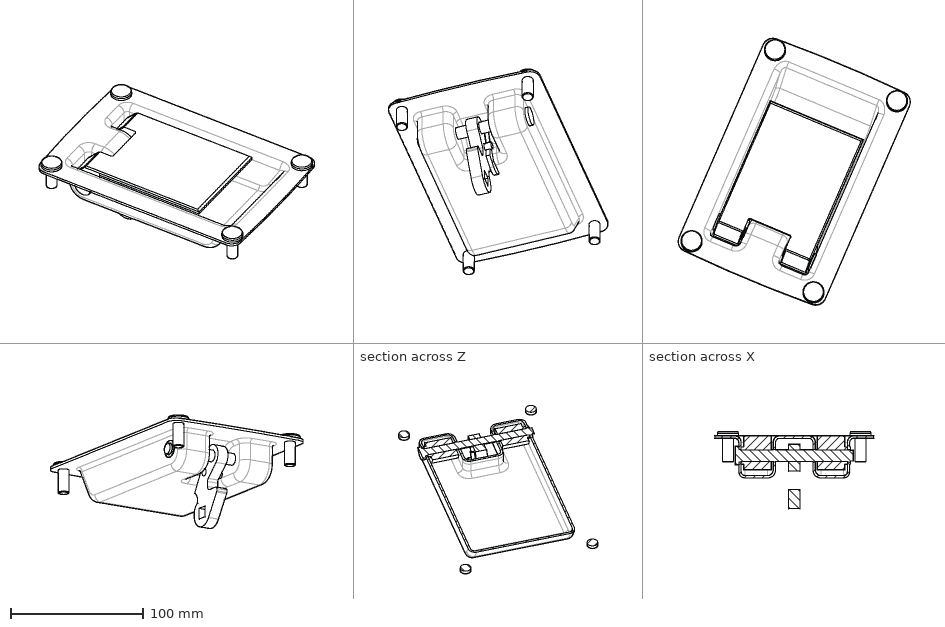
import cadquery as cq
import math


SHEET = 2.0
FLANGE_WIDTH = 120.0
FLANGE_LENGTH = 179.69
FLANGE_END_BOW = 1.6
FLANGE_CORNER_R = 8.0

TRAY_HALF_WIDTH = 40.0
TRAY_LEFT = -69.5
TRAY_DEPTH = 30.0
TRAY_BEND_R = 12.0
TRAY_RIGHT_BEND_X = 48.8
SLOPE_ANGLE = 60.0
TRAY_EDGE_R = 3.0
MOUTH_R = 5.0

TONGUE_HALF_WIDTH = 16.0
TONGUE_BEND_X = TRAY_LEFT + TRAY_BEND_R
TONGUE_BEND_R = 14.0
TONGUE_ANGLE = 45.0
TONGUE_WALL_X = -35.0
TONGUE_KNEE_R = 6.0
TONGUE_FOOT_R = 4.0

PIN_X = -55.8
PIN_Z = -15.0
PIN_DIA = 9.0
PIN_HEAD_DIA = 14.2
PIN_HEAD_HEIGHT = 2.5
PIN_TAIL_DIA = 8.2
PIN_TAIL_LENGTH = 2.5
PIN_PAD_DIA = 13.0
PIN_PAD_HEIGHT = 0.6
PIN_FACE_Y = TRAY_HALF_WIDTH + SHEET
PIN_SHOULDER_Y = PIN_FACE_Y + PIN_PAD_HEIGHT

STUD_X = 80.0
STUD_Y = 50.0
STUD_HEAD_DIA = 16.0
STUD_HEAD_HEIGHT = 3.0
STUD_HEAD_CHAMFER_HEIGHT = 1.2
STUD_HEAD_CHAMFER_WIDTH = 0.6
STUD_DIA = 8.4
STUD_END_Z = -20.0
STUD_END_CHAMFER = 0.6
STUD_PLACES = [(x, y) for x in (-STUD_X, STUD_X) for y in (-STUD_Y, STUD_Y)]

PADDLE_HALF_WIDTH = 38.2
PADDLE_THICKNESS = 3.0
PADDLE_RIGHT = 43.2
PADDLE_RIGHT_CHAMFER = 1.9
PADDLE_EDGE_CHAMFER = 1.1
PADDLE_FRONT_CHAMFER = 0.7
PADDLE_TOP_LEFT = -58.0
PADDLE_LEFT = -66.5
PADDLE_NOTCH_RIGHT = -46.3
PADDLE_NOTCH_HALF_WIDTH = 17.3
PADDLE_NOTCH_CORNER_R = 1.5
PADDLE_BOSS_DIA = 13.2

CAM_WIDTH = 9.0
CAM_HUB_R = 8.7
CAM_BACK_ANGLE = 60.0
CAM_STEM_X = -49.9
CAM_STEM_TOP_Z = -32.3
CAM_NOSE_X = -62.8
CAM_NOSE_TOP_Z = -40.5
CAM_NOSE_BOTTOM_Z = -44.3
CAM_NOSE_R = 1.5
CAM_STEM_R = 3.0
CAM_LOBE_X = -42.1
CAM_LOBE_Z = -56.1
CAM_LOBE_R = 11.0
CAM_LOBE_RIGHT_ANGLE = 53.0
CAM_SQUARE = 8.4
CAM_WAIST_X = -29.0
CAM_WAIST_Z = -45.0
CAM_WAIST_R = 6.9
CAM_WAIST_TOP_Z = -38.9

TRIP_GAP = 0.6
TRIP_THICKNESS = 3.0
TRIP_BACK_Y = -CAM_WIDTH / 2 - TRIP_GAP
TRIP_FRONT_Y = TRIP_BACK_Y - TRIP_THICKNESS
TRIP_LOBE_X = -31.7
TRIP_LOBE_Z = -28.7
TRIP_LOBE_R = 10.2
TRIP_TOP_Z = -8.0
TRIP_TOP_LEFT = -50.5
TRIP_HEEL_X = -44.7
TRIP_HEEL_TOP_Z = -20.5
TRIP_HEEL_BOTTOM_Z = -34.6
TRIP_CLEARANCE = 0.25
PIVOT_X = -45.2
PIVOT_Z = -25.4
PIVOT_DIA = 5.5
PIVOT_END_Y = -10.0

SLOPE_TAN = math.tan(math.radians(SLOPE_ANGLE))
TONGUE_TAN = math.tan(math.radians(TONGUE_ANGLE))
CAM_BACK_TAN = math.tan(math.radians(CAM_BACK_ANGLE))
FAR = 200.0
TINY = 0.01


def block(x0, x1, y0, y1, z0, z1):
    """Box between two opposite corners."""
    return cq.Workplane("XY").box(x1 - x0, y1 - y0, z1 - z0, centered=False).translate((x0, y0, z0))


def extrude_y(outline, y0, y1):
    """Extrude a closed XZ outline from y0 up to y1."""
    return outline.extrude(y0 - y1).translate((0, y0, 0))


def rod(x, z, dia, y0, y1):
    """Round bar parallel to Y."""
    return extrude_y(cq.Workplane("XZ").center(x, z).circle(dia / 2), y0, y1)


def on_circle(x, z, radius, degrees):
    """Point of an XZ circle at an angle counted from +X towards +Z."""
    angle = math.radians(degrees)
    return (x + radius * math.cos(angle), z + radius * math.sin(angle))


def tangent_degrees(x, z, radius, point, side):
    """Angle on the circle where a line from an outside point touches it; side is +1 or -1."""
    dx = point[0] - x
    dz = point[1] - z
    opening = math.acos(radius / math.hypot(dx, dz))
    return math.degrees(math.atan2(dz, dx) + side * opening)



def tray_block(offset):
    """Tray-shaped solid with rounded edges, up to the flange; offset moves its skin outwards."""
    top = -offset
    left = TRAY_LEFT - offset
    radius = TRAY_BEND_R + offset
    floor = -TRAY_DEPTH - offset
    centre_z = floor + radius
    slope_start = on_circle(TRAY_RIGHT_BEND_X, centre_z, radius, SLOPE_ANGLE - 90)
    slope_top_x = slope_start[0] + (top - slope_start[1]) / SLOPE_TAN
    outline = (
        cq.Workplane("XZ")
        .moveTo(left, top)
        .lineTo(left, centre_z)
        .threePointArc(on_circle(left + radius, centre_z, radius, 225), (left + radius, floor))
        .lineTo(TRAY_RIGHT_BEND_X, floor)
        .threePointArc(on_circle(TRAY_RIGHT_BEND_X, centre_z, radius, SLOPE_ANGLE / 2 - 90), slope_start)
        .lineTo(slope_top_x, top)
        .close()
    )
    half = TRAY_HALF_WIDTH + offset
    tray = extrude_y(outline, -half, half)
    long_edges = tray.faces("<Y or >Y").edges("not(#Z and >Z)")
    return long_edges.fillet(TRAY_EDGE_R + offset)


def tongue_block(offset):
    """Inner end of the tongue: a bend, a slope and a wall that runs down through the floor."""
    radius = TONGUE_BEND_R - offset
    centre_z = -TONGUE_BEND_R
    bottom = -TRAY_DEPTH - 2 * TONGUE_BEND_R
    slope_start = on_circle(TONGUE_BEND_X, centre_z, radius, 90 - TONGUE_ANGLE)
    wall_x = TONGUE_WALL_X - offset
    knee_z = slope_start[1] - (wall_x - slope_start[0]) * TONGUE_TAN
    outline = (
        cq.Workplane("XZ")
        .moveTo(TONGUE_BEND_X, -offset)
        .threePointArc(on_circle(TONGUE_BEND_X, centre_z, radius, 90 - TONGUE_ANGLE / 2), slope_start)
        .lineTo(wall_x, knee_z)
        .lineTo(wall_x, bottom)
        .lineTo(TONGUE_BEND_X, bottom)
        .close()
    )
    half = TONGUE_HALF_WIDTH - offset
    tongue = extrude_y(outline, -half, half)
    knee = cq.selectors.NearestToPointSelector((wall_x, 0, knee_z))
    tongue = tongue.edges("|Y").edges(knee).fillet(TONGUE_KNEE_R - offset)
    rims = tongue.faces("<Y or >Y").edges("not(<X or <Z)")
    return rims.fillet(MOUTH_R - offset)


def open_mouth(body, x0, x1, offset):
    """Add the slab above the tray and round the bend where they meet."""
    top = -offset
    body = body.union(block(x0, x1, -FAR, FAR, top, FAR))
    reach_x0 = max(x0 + TINY, -FAR / 2)
    reach_x1 = min(x1 - TINY, FAR / 2)
    mouth = cq.selectors.BoxSelector(
        (reach_x0, -FAR / 2, top - TINY), (reach_x1, FAR / 2, top + TINY)
    )
    return body.edges(mouth).fillet(MOUTH_R - offset)


def tray_skin(offset):
    """Everything inside the tray surface plus the space above the flange surface."""
    tray = tray_block(offset)
    split = TONGUE_BEND_X
    half = TONGUE_HALF_WIDTH - offset
    floor = -TRAY_DEPTH - offset

    lobes = tray.intersect(block(-FAR, split, -FAR, FAR, -FAR, FAR))
    lobes = lobes.cut(block(-FAR, FAR, -half, half, -FAR, FAR))
    for side in (-1, 1):
        end_wall = cq.selectors.BoxSelector(
            (-FAR, side * half - TINY, floor), (split - TINY, side * half + TINY, -offset - TINY)
        )
        lobes = lobes.edges(end_wall).fillet(TONGUE_FOOT_R + offset)
    lobes = open_mouth(lobes, -FAR, split, offset)

    main = tray.intersect(block(split, FAR, -FAR, FAR, -FAR, FAR))
    main = main.cut(tongue_block(offset))
    foot = cq.selectors.BoxSelector(
        (split + TINY, -half - TINY, floor - TINY), (0, half + TINY, floor + TINY)
    )
    main = main.edges(foot).fillet(TONGUE_FOOT_R + offset)
    main = open_mouth(main, split, FAR, offset)
    return lobes.union(main)


def flange_prism():
    """Flange outline with bowed ends, as a prism taller than the tray is deep."""
    half_y = FLANGE_WIDTH / 2
    tip_x = FLANGE_LENGTH / 2
    corner_x = tip_x - FLANGE_END_BOW
    return (
        cq.Workplane("XY")
        .moveTo(-corner_x, -half_y)
        .lineTo(corner_x, -half_y)
        .threePointArc((tip_x, 0), (corner_x, half_y))
        .lineTo(-corner_x, half_y)
        .threePointArc((-tip_x, 0), (-corner_x, -half_y))
        .close()
        .extrude(-2 * TRAY_DEPTH)
        .edges("|Z")
        .fillet(FLANGE_CORNER_R)
    )


def make_housing():
    body = flange_prism().intersect(tray_skin(SHEET))
    pad = rod(PIN_X, PIN_Z, PIN_PAD_DIA, TRAY_HALF_WIDTH + SHEET / 2, PIN_SHOULDER_Y)
    body = body.union(pad)
    body = body.cut(tray_skin(0))
    body = body.cut(rod(PIN_X, PIN_Z, PIN_DIA, -FAR, FAR))
    for x, y in STUD_PLACES:
        body = body.cut(cq.Workplane("XY").center(x, y).circle(STUD_DIA / 2).extrude(-SHEET))
    return body



def make_stud(x, y):
    head = (
        cq.Workplane("XY")
        .circle(STUD_HEAD_DIA / 2)
        .extrude(STUD_HEAD_HEIGHT)
        .faces(">Z")
        .chamfer(STUD_HEAD_CHAMFER_HEIGHT, STUD_HEAD_CHAMFER_WIDTH)
    )
    shank = cq.Workplane("XY").circle(STUD_DIA / 2).extrude(STUD_END_Z)
    shank = shank.faces("<Z").chamfer(STUD_END_CHAMFER)
    return head.union(shank).translate((x, y, 0))


def make_hinge_pin():
    head = rod(PIN_X, PIN_Z, PIN_HEAD_DIA, -PIN_FACE_Y - PIN_HEAD_HEIGHT, -PIN_FACE_Y)
    shank = rod(PIN_X, PIN_Z, PIN_DIA, -PIN_FACE_Y, PIN_SHOULDER_Y)
    tail = rod(PIN_X, PIN_Z, PIN_TAIL_DIA, PIN_SHOULDER_Y, PIN_FACE_Y + PIN_TAIL_LENGTH)
    return head.union(shank).union(tail)



def make_paddle():
    hub_r = PIN_X - PADDLE_LEFT
    front_bottom_z = PADDLE_LEFT - PADDLE_TOP_LEFT
    outline = (
        cq.Workplane("XZ")
        .moveTo(PADDLE_TOP_LEFT, 0)
        .lineTo(PADDLE_RIGHT, 0)
        .lineTo(PADDLE_RIGHT, -PADDLE_THICKNESS)
        .lineTo(PIN_X + hub_r, -PADDLE_THICKNESS)
        .lineTo(PIN_X + hub_r, PIN_Z)
        .threePointArc((PIN_X, PIN_Z - hub_r), (PADDLE_LEFT, PIN_Z))
        .lineTo(PADDLE_LEFT, front_bottom_z)
        .close()
    )
    body = extrude_y(outline, -PADDLE_HALF_WIDTH, PADDLE_HALF_WIDTH)
    right_edge = body.faces(">Z").edges(">X")
    body = right_edge.chamfer(PADDLE_RIGHT_CHAMFER, PADDLE_EDGE_CHAMFER)
    body = body.faces(">Z").edges("<Y or >Y").chamfer(PADDLE_EDGE_CHAMFER)
    lug_gap = block(-FAR, PADDLE_NOTCH_RIGHT, -PADDLE_NOTCH_HALF_WIDTH, PADDLE_NOTCH_HALF_WIDTH, -FAR, FAR)
    lug_gap = lug_gap.edges("|Z and >X").fillet(PADDLE_NOTCH_CORNER_R)
    body = body.cut(lug_gap)
    front_faces = cq.selectors.BoxSelector(
        (PADDLE_LEFT, -FAR, front_bottom_z), (PADDLE_TOP_LEFT, FAR, 0)
    )
    front_edges = body.faces(front_faces).edges("not(|Y and <Z)")
    body = front_edges.chamfer(PADDLE_FRONT_CHAMFER)
    below_plate = block(
        PADDLE_NOTCH_RIGHT - PADDLE_NOTCH_CORNER_R, FAR,
        -PADDLE_NOTCH_HALF_WIDTH, PADDLE_NOTCH_HALF_WIDTH, -FAR, -PADDLE_THICKNESS,
    )
    body = body.cut(below_plate)
    bosses = rod(PIN_X, PIN_Z, PADDLE_BOSS_DIA, -TRAY_HALF_WIDTH, TRAY_HALF_WIDTH)
    bosses = bosses.cut(block(-FAR, FAR, -PADDLE_HALF_WIDTH, PADDLE_HALF_WIDTH, -FAR, FAR))
    return body.union(bosses).cut(rod(PIN_X, PIN_Z, PIN_DIA, -FAR, FAR))



def cam_back_start():
    """Point where the straight right side of the cam leaves its hub."""
    return on_circle(PIN_X, PIN_Z, CAM_HUB_R, 90 - CAM_BACK_ANGLE)


def make_cam():
    stem_top = (CAM_STEM_X, CAM_STEM_TOP_Z)
    nose_bottom = (CAM_NOSE_X, CAM_NOSE_BOTTOM_Z)
    hub_left = tangent_degrees(PIN_X, PIN_Z, CAM_HUB_R, stem_top, -1)
    back_start = cam_back_start()
    back_end_x = back_start[0] + (back_start[1] - CAM_WAIST_TOP_Z) / CAM_BACK_TAN
    lobe_left = tangent_degrees(CAM_LOBE_X, CAM_LOBE_Z, CAM_LOBE_R, nose_bottom, 1)
    outline = (
        cq.Workplane("XZ")
        .moveTo(*back_start)
        .threePointArc(
            on_circle(PIN_X, PIN_Z, CAM_HUB_R, 135),
            on_circle(PIN_X, PIN_Z, CAM_HUB_R, hub_left),
        )
        .lineTo(*stem_top)
        .lineTo(CAM_STEM_X, CAM_NOSE_TOP_Z)
        .lineTo(CAM_NOSE_X, CAM_NOSE_TOP_Z)
        .lineTo(*nose_bottom)
        .lineTo(*on_circle(CAM_LOBE_X, CAM_LOBE_Z, CAM_LOBE_R, lobe_left))
        .threePointArc(
            on_circle(CAM_LOBE_X, CAM_LOBE_Z, CAM_LOBE_R, -45),
            on_circle(CAM_LOBE_X, CAM_LOBE_Z, CAM_LOBE_R, CAM_LOBE_RIGHT_ANGLE),
        )
        .threePointArc((CAM_WAIST_X - CAM_WAIST_R, CAM_WAIST_Z), (back_end_x, CAM_WAIST_TOP_Z))
        .close()
    )
    body = extrude_y(outline, -CAM_WIDTH / 2, CAM_WIDTH / 2)
    nose = cq.selectors.BoxSelector(
        (CAM_NOSE_X - TINY, -CAM_WIDTH, CAM_NOSE_BOTTOM_Z - TINY),
        (CAM_NOSE_X + TINY, CAM_WIDTH, CAM_NOSE_TOP_Z + TINY),
    )
    body = body.edges("|Y").edges(nose).fillet(CAM_NOSE_R)
    for corner_z in (CAM_STEM_TOP_Z, CAM_NOSE_TOP_Z):
        corner = cq.selectors.NearestToPointSelector((CAM_STEM_X, 0, corner_z))
        body = body.edges("|Y").edges(corner).fillet(CAM_STEM_R)
    square = cq.Workplane("XZ").center(CAM_LOBE_X, CAM_LOBE_Z).rect(CAM_SQUARE, CAM_SQUARE)
    body = body.cut(extrude_y(square, -CAM_WIDTH, CAM_WIDTH))
    body = body.cut(rod(PIN_X, PIN_Z, PIN_DIA, -CAM_WIDTH, CAM_WIDTH))
    return body.cut(rod(PIVOT_X, PIVOT_Z, PIVOT_DIA, -CAM_WIDTH, CAM_WIDTH))


def make_trip_plate():
    back_start = cam_back_start()
    lobe_top_z = -TRAY_DEPTH - SHEET - TRIP_CLEARANCE
    lobe_top = math.degrees(math.asin((lobe_top_z - TRIP_LOBE_Z) / TRIP_LOBE_R))
    heel = (TRIP_HEEL_X, TRIP_HEEL_BOTTOM_Z)
    lobe_left = tangent_degrees(TRIP_LOBE_X, TRIP_LOBE_Z, TRIP_LOBE_R, heel, 1)
    back_end = (back_start[0] + (back_start[1] - lobe_top_z) / CAM_BACK_TAN, lobe_top_z)
    outline = (
        cq.Workplane("XZ")
        .moveTo(TRIP_TOP_LEFT, TRIP_TOP_Z)
        .lineTo(TRIP_HEEL_X, TRIP_HEEL_TOP_Z)
        .lineTo(*heel)
        .lineTo(*on_circle(TRIP_LOBE_X, TRIP_LOBE_Z, TRIP_LOBE_R, lobe_left))
        .threePointArc(
            on_circle(TRIP_LOBE_X, TRIP_LOBE_Z, TRIP_LOBE_R, -60),
            on_circle(TRIP_LOBE_X, TRIP_LOBE_Z, TRIP_LOBE_R, lobe_top),
        )
        .lineTo(*back_end)
        .lineTo(*back_start)
        .lineTo(back_start[0], TRIP_TOP_Z)
        .close()
    )
    plate = extrude_y(outline, TRIP_FRONT_Y, TRIP_BACK_Y)
    return plate.cut(rod(PIVOT_X, PIVOT_Z, PIVOT_DIA, -FAR, FAR))


def make_pivot():
    return rod(PIVOT_X, PIVOT_Z, PIVOT_DIA, PIVOT_END_Y, CAM_WIDTH / 2)


housing = make_housing()
studs = [make_stud(x, y) for x, y in STUD_PLACES]
hinge_pin = make_hinge_pin()
paddle = make_paddle()
cam = make_cam()
trip_plate = make_trip_plate()
pivot = make_pivot()

bodies = [housing, *studs, hinge_pin, paddle, cam, trip_plate, pivot]
result = cq.Compound.makeCompound([body.solids().val() for body in bodies])